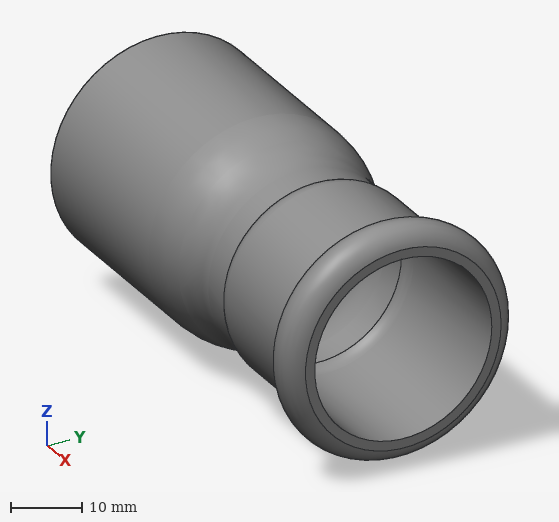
import cadquery as cq
import math


spigot_end = 28.6
neck_start = 41.5
neck_end = 45.95
socket_start = 48.2
bead_start = 63.75
total_length = 71.0

spigot_outer = 35.0 / 2
spigot_inner = 32.0 / 2
neck_outer = 30.0 / 2
neck_inner = 27.0 / 2
socket_outer = 31.4 / 2
socket_inner = 28.4 / 2
bead_outer = 36.7 / 2


def shoulder_middle(neck_radius, socket_radius):
    """Middle point of the shoulder arc, which runs tangent into the socket."""
    length = socket_start - neck_end
    rise = socket_radius - neck_radius
    arc_radius = (length**2 + rise**2) / (2 * rise)
    half_angle = math.asin(length / arc_radius) / 2
    return (
        socket_start - arc_radius * math.sin(half_angle),
        socket_radius - arc_radius * (1 - math.cos(half_angle)),
    )


def reducer_middles(large_radius, small_radius):
    """Inflection and arc middle points of an S of two equal tangent arcs."""
    length = neck_start - spigot_end
    drop = large_radius - small_radius
    arc_radius = (length**2 + drop**2) / (4 * drop)
    half_angle = math.atan2(drop, length)
    along = arc_radius * math.sin(half_angle)
    across = arc_radius * (1 - math.cos(half_angle))
    return (
        (spigot_end + along, large_radius - across),
        (spigot_end + length / 2, large_radius - drop / 2),
        (neck_start - along, small_radius + across),
    )


def turned_body(spigot_radius, neck_radius, socket_radius):
    """Solid of revolution with the spigot, reducer, neck, shoulder and socket."""
    first_arc, inflection, second_arc = reducer_middles(spigot_radius, neck_radius)
    profile = (
        cq.Workplane("XY")
        .moveTo(0, 0)
        .lineTo(0, spigot_radius)
        .lineTo(spigot_end, spigot_radius)
        .threePointArc(first_arc, inflection)
        .threePointArc(second_arc, (neck_start, neck_radius))
        .lineTo(neck_end, neck_radius)
        .threePointArc(shoulder_middle(neck_radius, socket_radius), (socket_start, socket_radius))
        .lineTo(total_length, socket_radius)
        .lineTo(total_length, 0)
        .close()
    )
    return profile.revolve(360, (0, 0, 0), (1, 0, 0))


def rounded_bead():
    """Rounded collar around the mouth of the socket."""
    bead_middle = (bead_start + total_length) / 2
    profile = (
        cq.Workplane("XY")
        .moveTo(bead_start, 0)
        .lineTo(bead_start, socket_outer)
        .threePointArc((bead_middle, bead_outer), (total_length, socket_outer))
        .lineTo(total_length, 0)
        .close()
    )
    return profile.revolve(360, (0, 0, 0), (1, 0, 0))


outside = turned_body(spigot_outer, neck_outer, socket_outer).union(rounded_bead())
bore = turned_body(spigot_inner, neck_inner, socket_inner)
result = outside.cut(bore)